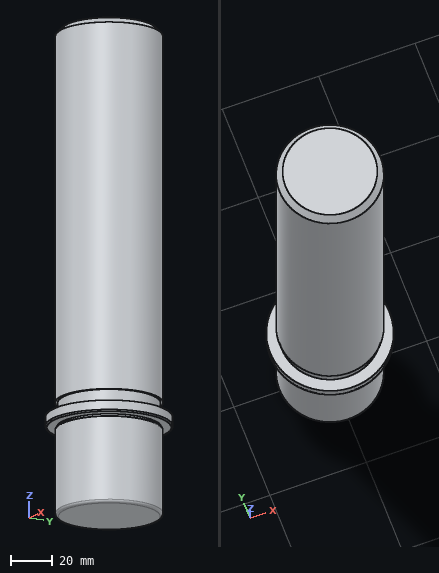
import cadquery as cq

total_height = 245.0
body_diameter = 52.5
flange_diameter = 62.0

flange_bottom = 44.5
flange_thickness = 5.5
upper_groove_height = 7.0
lower_groove_height = 1.2

upper_groove_depth = 1.2
lower_groove_depth = 0.7

top_chamfer = 3.2
bottom_round = 1.5
flange_chamfer = 0.7

body_radius = body_diameter / 2
flange_top = flange_bottom + flange_thickness


def cylinder(radius, bottom, top):
    """Solid cylinder on the Z axis between two heights."""
    return cq.Workplane("XY").workplane(offset=bottom).circle(radius).extrude(top - bottom)


shank_top = flange_bottom - lower_groove_height
shank = cylinder(body_radius, 0, shank_top).faces("<Z").fillet(bottom_round)
lower_groove = cylinder(body_radius - lower_groove_depth, shank_top, flange_bottom)

flange = cylinder(flange_diameter / 2, flange_bottom, flange_top).faces("<Z").chamfer(flange_chamfer)

pin_bottom = flange_top + upper_groove_height
upper_groove = cylinder(body_radius - upper_groove_depth, flange_top, pin_bottom)
pin = cylinder(body_radius, pin_bottom, total_height).faces(">Z").chamfer(top_chamfer)

result = shank.union(lower_groove).union(flange).union(upper_groove).union(pin)